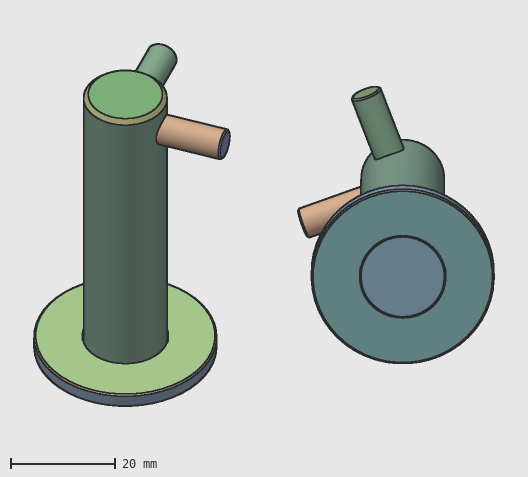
import cadquery as cq

plate_diameter = 35.0
plate_thickness = 3.1
plate_chamfer = 0.3

post_height = 64.0
post_diameter = 16.0
post_chamfer = 0.9
post_clearance = 0.25

pin_diameter = 5.95
pin_reach = 20.4
pin_drop = 6.5
pin_chamfer = 0.3
pin_angles = (45, 135)


def make_plate():
    """Disc with both rims chamfered and a clearance hole for the post."""
    disc = cq.Workplane("XY").circle(plate_diameter / 2).extrude(plate_thickness)
    disc = disc.faces("<Z or >Z").edges().chamfer(plate_chamfer)
    return disc.faces(">Z").workplane().hole(post_diameter + 2 * post_clearance)


def make_post_cylinder():
    """Plain cylinder of the post, before its top edge is chamfered."""
    return cq.Workplane("XY").circle(post_diameter / 2).extrude(post_height)


def make_post():
    return make_post_cylinder().faces(">Z").edges().chamfer(post_chamfer)


def make_pin(angle):
    """Round pin with a chamfered tip and its root shaped to sit on the post."""
    pin = cq.Workplane("YZ").circle(pin_diameter / 2).extrude(pin_reach)
    pin = pin.faces(">X").edges().chamfer(pin_chamfer)
    pin = pin.translate((0, 0, post_height - pin_drop))
    pin = pin.cut(make_post_cylinder())
    return pin.rotate((0, 0, 0), (0, 0, 1), angle)


plate = make_plate()
post = make_post()
pins = [make_pin(angle) for angle in pin_angles]

result = cq.Compound.makeCompound([plate.val(), post.val(), *[pin.val() for pin in pins]])